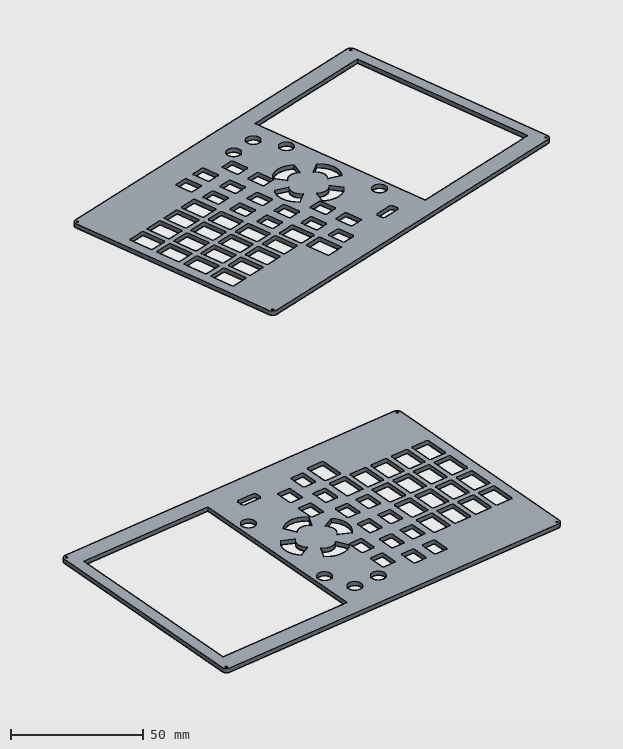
import cadquery as cq
import math

plate_width = 99.7
plate_length = 163.2
plate_thickness = 2.0
corner_radius = 2.0
pin_hole_diameter = 0.8
pin_hole_inset = 1.5

window_width = 84.4
window_height = 60.0
window_y = 46.7

round_hole_diameter = 6.0
round_hole_centers = [(-35.1, 7.2), (-35.1, -4.2), (-22.7, 11.9), (23.7, 11.8)]

slot_width = 3.9
slot_height = 9.0
slot_corner_radius = 1.0
slot_center = (36.5, 1.1)

pad_center = (0.5, -2.6)
pad_outer_middle_radius = 15.0
pad_outer_corner_radius = 13.9
pad_inner_middle_radius = 8.8
pad_inner_corner_radius = 8.0
pad_half_angle = 27

key_corner_radius = 0.5
small_key = (8.0, 6.0)
large_key = (11.1, 7.8)
column_count = 6
row_count = 6
first_column_x = -33.0
last_column_x = 34.1
column_pitch = (last_column_x - first_column_x) / (column_count - 1)
first_row_y = -23.2
last_row_y = -73.3
row_pitch = (first_row_y - last_row_y) / (row_count - 1)
small_keys_in_second_row = 4
block_columns = range(1, 5)
block_rows = range(2, row_count)
upper_left_keys = [(-27.7, -12.2), (-15.0, -12.2)]
upper_right_keys = [(16.2, -12.5), (28.9, -12.5)]


def grid_points(columns, rows):
    """Centers of the keypad cells in the given columns and rows, counted from the top left."""
    return [
        (first_column_x + column * column_pitch, first_row_y - row * row_pitch)
        for row in rows
        for column in columns
    ]


def rounded_cutter(size, radius, centers):
    """Rounded rectangular blocks, as thick as the plate, at the given centers."""
    return (
        cq.Workplane("XY")
        .pushPoints(centers)
        .rect(*size)
        .extrude(plate_thickness)
        .edges("|Z")
        .fillet(radius)
    )


def pad_cutter(direction):
    """One arc-shaped opening whose middle points along the given angle in degrees."""

    def polar(radius, offset):
        angle = math.radians(direction + offset)
        return (pad_center[0] + radius * math.cos(angle), pad_center[1] + radius * math.sin(angle))

    return (
        cq.Workplane("XY")
        .moveTo(*polar(pad_inner_corner_radius, -pad_half_angle))
        .lineTo(*polar(pad_outer_corner_radius, -pad_half_angle))
        .threePointArc(polar(pad_outer_middle_radius, 0), polar(pad_outer_corner_radius, pad_half_angle))
        .lineTo(*polar(pad_inner_corner_radius, pad_half_angle))
        .threePointArc(polar(pad_inner_middle_radius, 0), polar(pad_inner_corner_radius, -pad_half_angle))
        .close()
        .extrude(plate_thickness)
    )


plate = cq.Workplane("XY").box(plate_width, plate_length, plate_thickness, centered=(True, True, False))
plate = plate.edges("|Z").fillet(corner_radius)
pin_holes = (
    cq.Workplane("XY")
    .rect(plate_width - 2 * pin_hole_inset, plate_length - 2 * pin_hole_inset, forConstruction=True)
    .vertices()
    .circle(pin_hole_diameter / 2)
    .extrude(plate_thickness)
)
plate = plate.cut(pin_holes)

window = cq.Workplane("XY").center(0, window_y).rect(window_width, window_height).extrude(plate_thickness)
plate = plate.cut(window)

round_holes = (
    cq.Workplane("XY")
    .pushPoints(round_hole_centers)
    .circle(round_hole_diameter / 2)
    .extrude(plate_thickness)
)
plate = plate.cut(round_holes)
plate = plate.cut(rounded_cutter((slot_width, slot_height), slot_corner_radius, [slot_center]))

for direction in (0, 90, 180, 270):
    plate = plate.cut(pad_cutter(direction))

small_key_centers = (
    upper_left_keys
    + upper_right_keys
    + grid_points(range(column_count), [0])
    + grid_points(range(small_keys_in_second_row), [1])
)
plate = plate.cut(rounded_cutter(small_key, key_corner_radius, small_key_centers))

second_row_large_columns = range(small_keys_in_second_row, column_count)
large_key_centers = grid_points(second_row_large_columns, [1]) + grid_points(block_columns, block_rows)
plate = plate.cut(rounded_cutter(large_key, key_corner_radius, large_key_centers))

result = plate